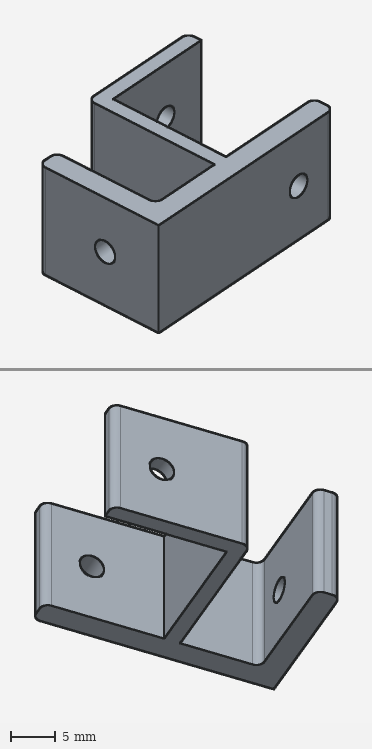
import cadquery as cq

width = 22.0
depth = 30.13
height = 15.0

thick_wall = 3.0
web_thickness = 2.0
arm_thickness = 2.05
main_wall_depth = 30.0
web_front = 13.02
foot_start = 4.0
edge_radius = 1.0

hole_diameter = 3.0
foot_hole_x = 13.95
side_hole_y = 23.98

main_wall_x = width - thick_wall
web_back = web_front + web_thickness
middle_z = height / 2


def upright_block(x_start, x_end, y_start, y_end):
    """Full-height block standing on Z = 0."""
    block = cq.Workplane("XY").box(x_end - x_start, y_end - y_start, height, centered=False)
    return block.translate((x_start, y_start, 0))


def round_edge(body, x, y):
    """Round the vertical edge at (x, y)."""
    edge = cq.selectors.NearestToPointSelector((x, y, middle_z))
    return body.edges("|Z").edges(edge).fillet(edge_radius)


main_wall = upright_block(main_wall_x, width, 0, main_wall_depth)
foot = upright_block(foot_start, width, 0, thick_wall)
web = upright_block(0, width, web_front, web_back)
side_arm = upright_block(0, arm_thickness, web_front, depth)
bracket = main_wall.union(foot).union(web).union(side_arm).clean()

rounded_edges = [
    (foot_start, 0),
    (foot_start, thick_wall),
    (main_wall_x, thick_wall),
    (main_wall_x, main_wall_depth),
    (width, main_wall_depth),
    (0, web_front),
    (0, depth),
]
for edge_x, edge_y in rounded_edges:
    bracket = round_edge(bracket, edge_x, edge_y)

foot_hole = (
    cq.Workplane("XZ", origin=(foot_hole_x, 0, middle_z))
    .circle(hole_diameter / 2)
    .extrude(-thick_wall)
)

side_hole = (
    cq.Workplane("YZ", origin=(0, side_hole_y, middle_z))
    .circle(hole_diameter / 2)
    .extrude(width)
)

result = bracket.cut(foot_hole).cut(side_hole)